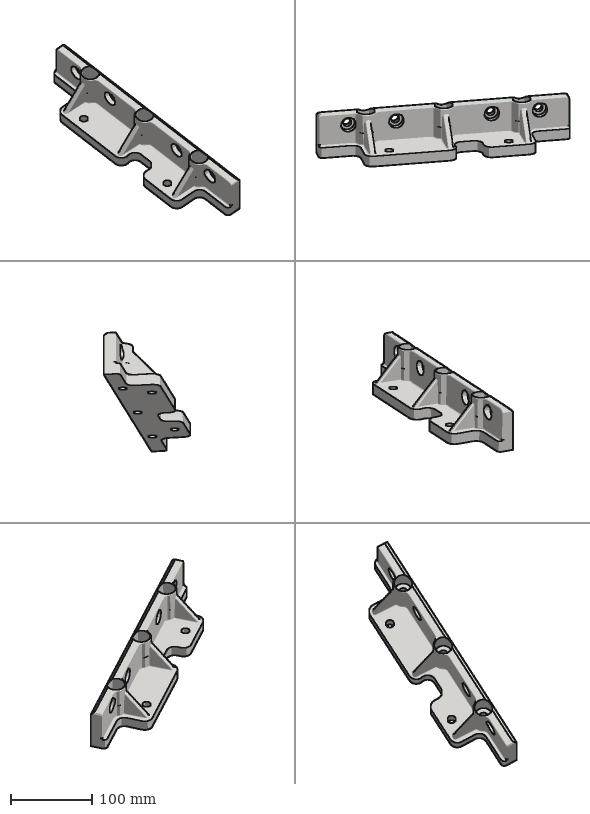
import cadquery as cq
import math

LENGTH = 315.0
DEPTH = 60.0
HEIGHT = 55.0

BASE_HEIGHT = 14.0
STRIP_CORNER_R = 5.0
WALL_THICKNESS = 15.0
STRIP_DEPTH = WALL_THICKNESS + STRIP_CORNER_R
PLATE_WIDTH = 214.8
PLATE_CORNER_R = 10.0

NOTCH_BACK = 35.0
NOTCH_BACK_LEFT = 17.3
NOTCH_RIGHT = 42.2

WALL_END_R = 5.0
BACK_CHAMFER = 5.0
BOSS_SPACING = 97.5
BOSS_XS = (-BOSS_SPACING, 0, BOSS_SPACING)
BOSS_R = 12.5
BOSS_BLEND_R = 7.2

RIB_WIDTH = 7.0
RIB_EMBEDMENT = 6.3
RIB_DRAFT_ANGLE = 2.0
RIB_ROOT_R = 2.2
RIB_TOP = 47.0
RIB_FRONT = 56.5
RIB_RISE = RIB_TOP - BASE_HEIGHT
RIB_RUN = RIB_FRONT - 2 * BOSS_R

EDGE_R = 2.0

HOLE_DIAMETER = 10.0
BOSS_BORE_DIAMETER = 22.0
BOSS_BORE_DEPTH = 25.2
WALL_HOLE_XS = (-120.0, -60.0, 60.0, 120.0)
WALL_HOLE_Z = 39.7
WALL_BORE_DIAMETER = 18.3
WALL_BORE_DEPTH = 7.5
PLATE_HOLE_XS = (-75.0, 75.0)
PLATE_HOLE_Y = -44.7

MARGIN = 12.5
TOLERANCE = 0.03


def block(x_min, x_max, y_min, y_max, height):
    """Rectangular block standing on Z = 0."""
    size = (x_max - x_min, y_max - y_min, height)
    return cq.Workplane("XY").box(*size, centered=False).translate((x_min, y_min, 0))


def slab(x_reach, y_min, y_max, z_min, z_max):
    """Selector for a box centred on X, slightly enlarged on all sides."""
    low = (-x_reach - TOLERANCE, y_min - TOLERANCE, z_min - TOLERANCE)
    high = (x_reach + TOLERANCE, y_max + TOLERANCE, z_max + TOLERANCE)
    return cq.selectors.BoxSelector(low, high)


def make_notch():
    """Notch cutter; every corner arc has the plate's corner radius."""
    r = PLATE_CORNER_R
    arc_dy = DEPTH - NOTCH_BACK - 2 * r
    arc_dx = math.sqrt((2 * r) ** 2 - arc_dy**2)
    front_left = (NOTCH_BACK_LEFT - arc_dx, -DEPTH)
    back_left = (NOTCH_BACK_LEFT, -NOTCH_BACK)
    inflection = (NOTCH_BACK_LEFT - arc_dx / 2, -(DEPTH + NOTCH_BACK) / 2)
    return (
        cq.Workplane("XY")
        .moveTo(*front_left)
        .radiusArc(inflection, -r)
        .radiusArc(back_left, r)
        .lineTo(NOTCH_RIGHT - r, -NOTCH_BACK)
        .radiusArc((NOTCH_RIGHT, -NOTCH_BACK - r), r)
        .lineTo(NOTCH_RIGHT, -DEPTH + r)
        .radiusArc((NOTCH_RIGHT + r, -DEPTH), -r)
        .close()
        .extrude(HEIGHT)
    )


def make_outline():
    """Outline of the base in plan, extruded to the full height."""
    half_plate = PLATE_WIDTH / 2
    strip = block(-LENGTH / 2, LENGTH / 2, -STRIP_DEPTH, 0, HEIGHT)
    strip = strip.edges("|Z and <Y").fillet(STRIP_CORNER_R)
    plate = block(-half_plate, half_plate, -DEPTH, -WALL_THICKNESS, HEIGHT)
    plate_corners = slab(half_plate, -DEPTH, -STRIP_DEPTH, 0, HEIGHT)
    outline = strip.union(plate).edges("|Z").edges(plate_corners).fillet(PLATE_CORNER_R)
    return outline.cut(make_notch())


def make_wall():
    """Overlong wall with the bosses blended into its front face."""
    reach = LENGTH / 2 + MARGIN
    wall = block(-reach, reach, -WALL_THICKNESS, 0, HEIGHT)
    boss_centres = [(x, -BOSS_R) for x in BOSS_XS]
    bosses = cq.Workplane("XY").pushPoints(boss_centres).circle(BOSS_R).extrude(HEIGHT)
    wall = wall.union(bosses)
    blend_edges = slab(LENGTH / 2, -WALL_THICKNESS, -WALL_THICKNESS, 0, HEIGHT)
    return wall.edges("|Z").edges(blend_edges).fillet(BOSS_BLEND_R)


def make_rib(x):
    """Triangular rib that widens from its sloping crest towards the boss and the base."""
    back = -2 * BOSS_R + RIB_EMBEDMENT
    back_top = RIB_TOP + RIB_RISE / RIB_RUN * RIB_EMBEDMENT
    toe = -RIB_FRONT - BASE_HEIGHT * RIB_RUN / RIB_RISE
    triangle = cq.Workplane("YZ").polyline([(back, 0), (back, back_top), (toe, 0)]).close()
    triangle = triangle.extrude(RIB_WIDTH, both=True)

    crest_length = math.hypot(back - toe, back_top)
    crest_plane = cq.Plane(origin=(0, toe, 0), xDir=(1, 0, 0), normal=(0, RIB_RUN, RIB_RISE))
    half_crest = RIB_WIDTH / 2
    half_root = half_crest + crest_length * math.tan(math.radians(RIB_DRAFT_ANGLE))
    section = [
        (-half_crest, 0),
        (half_crest, 0),
        (half_root, crest_length),
        (-half_root, crest_length),
    ]
    bar = cq.Workplane(crest_plane).polyline(section).close().extrude(crest_length)
    slope = cq.selectors.ParallelDirSelector(cq.Vector(0, RIB_RUN, RIB_RISE))
    crest_edges = slab(half_crest, toe, back, 0, back_top)
    bar = bar.edges(slope).edges(crest_edges).fillet(EDGE_R)
    return bar.intersect(triangle).translate((x, 0, 0))


def round_inner_corners(body):
    """Fillet the ribs against the bosses, then the foot of the wall, bosses and ribs."""
    boss_front = -2 * BOSS_R
    rib_roots = slab(BOSS_SPACING + RIB_WIDTH, boss_front, boss_front + EDGE_R, BASE_HEIGHT, HEIGHT)
    body = body.edges("not #Z").edges(rib_roots).fillet(RIB_ROOT_R)
    foot = slab(LENGTH / 2, -DEPTH, -WALL_THICKNESS, BASE_HEIGHT, BASE_HEIGHT)
    return body.edges(foot).fillet(EDGE_R)


def make_body():
    """Overlong base, wall, bosses and ribs in one piece with the front rim rounded."""
    reach = LENGTH / 2 + MARGIN
    body = block(-reach, reach, -DEPTH - MARGIN, 0, BASE_HEIGHT).union(make_wall())
    for x in BOSS_XS:
        body = body.union(make_rib(x))
    body = round_inner_corners(body)
    rim = slab(reach, -2 * BOSS_R, -WALL_THICKNESS, HEIGHT, HEIGHT)
    return body.edges("not |Y").edges(rim).fillet(EDGE_R)


def make_end_shape(depth):
    """Block of full length and height with its top back edge chamfered and its top ends rounded."""
    shape = block(-LENGTH / 2, LENGTH / 2, -depth, 0, HEIGHT)
    shape = shape.edges(">Y and >Z").chamfer(BACK_CHAMFER)
    return shape.edges("|Y and >Z").fillet(WALL_END_R)


def trim_to_length(body):
    """Trim to the plan outline and end shape, then round the front corners of the wall ends."""
    body = body.intersect(make_outline()).intersect(make_end_shape(DEPTH))
    wall_ends = make_end_shape(WALL_THICKNESS).faces("<X or >X").edges("<Y").fillet(EDGE_R)
    half_length = LENGTH / 2
    inner = half_length - WALL_END_R
    ledge_top = BASE_HEIGHT + EDGE_R
    for start, end in ((-half_length, -inner), (inner, half_length)):
        corner = block(start, end, -DEPTH, 0, HEIGHT - ledge_top).translate((0, 0, ledge_top))
        body = body.cut(corner.cut(wall_ends))
    return body


def cylinders_along_z(points, diameter, z_min, z_max):
    circles = cq.Workplane("XY").workplane(offset=z_min).pushPoints(points).circle(diameter / 2)
    return circles.extrude(z_max - z_min)


def cylinders_along_y(points, diameter, y_front, y_back):
    """Cylinders between two Y planes; the points are (X, Z) pairs."""
    circles = cq.Workplane("XZ", origin=(0, y_back, 0)).pushPoints(points).circle(diameter / 2)
    return circles.extrude(y_back - y_front)


def cut_holes(body):
    boss_centres = [(x, -BOSS_R) for x in BOSS_XS]
    plate_centres = [(x, PLATE_HOLE_Y) for x in PLATE_HOLE_XS]
    wall_centres = [(x, WALL_HOLE_Z) for x in WALL_HOLE_XS]
    wall_bore_floor = -WALL_THICKNESS + WALL_BORE_DEPTH

    body = body.cut(cylinders_along_z(boss_centres + plate_centres, HOLE_DIAMETER, 0, HEIGHT))
    body = body.cut(
        cylinders_along_z(boss_centres, BOSS_BORE_DIAMETER, HEIGHT - BOSS_BORE_DEPTH, HEIGHT)
    )
    body = body.cut(cylinders_along_y(wall_centres, HOLE_DIAMETER, -DEPTH, 0))
    return body.cut(cylinders_along_y(wall_centres, WALL_BORE_DIAMETER, -DEPTH, wall_bore_floor))


result = cut_holes(trim_to_length(make_body()))